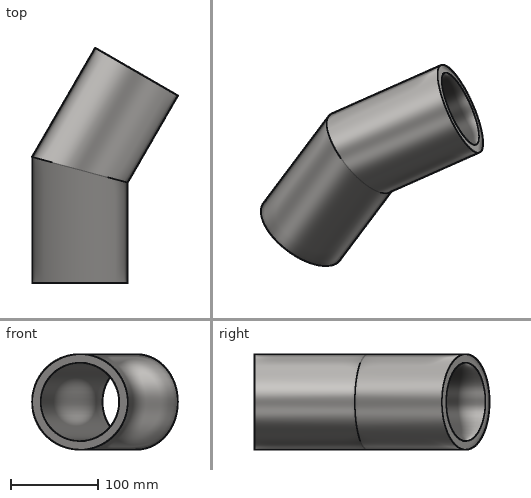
import cadquery as cq
import math

OUTER_DIAMETER = 110.0
WALL_THICKNESS = 10.0
BEND_ANGLE = 30.0
LEG_LENGTH = 130.22

INNER_DIAMETER = OUTER_DIAMETER - 2 * WALL_THICKNESS


def bent_centreline():
    """Two straight segments, starting at the origin and heading along +Y."""
    bend = math.radians(BEND_ANGLE)
    joint = (0, LEG_LENGTH)
    far_end = (
        LEG_LENGTH * math.sin(bend),
        LEG_LENGTH * (1 + math.cos(bend)),
    )
    return cq.Workplane("XY").moveTo(0, 0).lineTo(*joint).lineTo(*far_end)


def mitred_pipe():
    """Sweep the ring section along the centreline with a sharp mitre at the joint."""
    ring = cq.Workplane("XZ").circle(OUTER_DIAMETER / 2).circle(INNER_DIAMETER / 2)
    return ring.sweep(bent_centreline(), transition="right")


result = mitred_pipe()